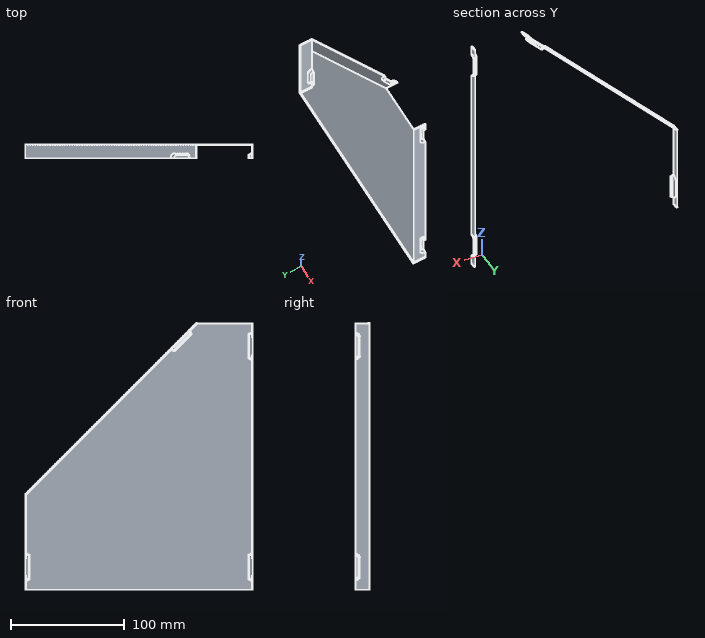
import cadquery as cq
import math

THICKNESS = 1.0
WIDTH = 200.0
HEIGHT = 234.0
DEPTH = 12.5
LEFT_HEIGHT = 84.0

COS_45 = math.sqrt(0.5)
NORMAL_SHIFT = THICKNESS * COS_45
INNER_INTERCEPT = LEFT_HEIGHT - THICKNESS / COS_45
LEFT_INNER_CORNER = (THICKNESS, INNER_INTERCEPT + THICKNESS)
TOP_INNER_CORNER = (HEIGHT - INNER_INTERCEPT, HEIGHT)

END_RELIEF = 1.0

DIMPLE_STRAIGHT = 15.0
DIMPLE_RADIUS = 4.0
DIMPLE_DEPTH = 3.0
DIMPLE_TAPER = 25.0
DIMPLE_SETBACK = 20.0


def extrude_outline(points, depth):
    """Extrude an XZ outline from Y = 0 toward +Y."""
    return cq.Workplane("XZ").polyline(points).close().extrude(-depth)


def toward_slope_normal(point):
    """Move an XZ point outward across the sloped flange by one sheet thickness."""
    return (point[0] - NORMAL_SHIFT, point[1] + NORMAL_SHIFT)


def down_slope(point, distance):
    """Move an XZ point down along the slope."""
    return (point[0] - distance * COS_45, point[1] - distance * COS_45)


def sloped_wall(top_inner, depth):
    """Strip along the slope, one sheet thick, with both ends square to the slope."""
    outline = [
        LEFT_INNER_CORNER,
        top_inner,
        toward_slope_normal(top_inner),
        toward_slope_normal(LEFT_INNER_CORNER),
    ]
    return extrude_outline(outline, depth)


def make_plate():
    """Back sheet, including the strip where the sloped flange turns off it."""
    outline = [
        (0, 0),
        (WIDTH, 0),
        (WIDTH, HEIGHT),
        TOP_INNER_CORNER,
        LEFT_INNER_CORNER,
        (0, LEFT_INNER_CORNER[1]),
    ]
    plate = extrude_outline(outline, THICKNESS).union(sloped_wall(TOP_INNER_CORNER, THICKNESS))
    return plate.translate((0, DEPTH - THICKNESS, 0))


def make_side_flange(x_start, height):
    flange = cq.Workplane("XY").box(THICKNESS, DEPTH, height, centered=False)
    return flange.translate((x_start, 0, 0))


def tapered_slot(plane, radius, depth):
    """Half of a drafted slot that is centred on the free edge and narrows along the plane normal."""
    reach = DIMPLE_STRAIGHT + 2 * radius
    slot = cq.Workplane(plane).slot2D(reach, 2 * radius).extrude(depth, taper=DIMPLE_TAPER)
    keep = cq.Workplane(plane).rect(reach, reach).extrude(depth)
    keep = keep.translate((0, reach / 2, 0))
    return slot.intersect(keep)


def add_dimple(body, center, inward):
    """Press a dimple at an XZ centre on an outer flange face, toward the XZ direction inward."""
    along_edge = (inward[1], 0, -inward[0])
    normal = (inward[0], 0, inward[1])
    plane = cq.Plane(origin=(center[0], 0, center[1]), xDir=along_edge, normal=normal)
    pocket = tapered_slot(plane, DIMPLE_RADIUS, DIMPLE_DEPTH)
    wall_offset = THICKNESS / math.cos(math.radians(DIMPLE_TAPER))
    offset_shift = THICKNESS * math.tan(math.radians(DIMPLE_TAPER))
    bump = tapered_slot(plane, DIMPLE_RADIUS + wall_offset - offset_shift, DIMPLE_DEPTH)
    bump = bump.translate(plane.zDir * THICKNESS)
    return body.union(bump).cut(pocket)


SLOPED_FLANGE_TOP = down_slope(TOP_INNER_CORNER, END_RELIEF)
DIMPLE_ON_SLOPE = toward_slope_normal(down_slope(SLOPED_FLANGE_TOP, DIMPLE_SETBACK))
DIMPLES = [
    ((0, DIMPLE_SETBACK), (1, 0)),
    ((WIDTH, DIMPLE_SETBACK), (-1, 0)),
    ((WIDTH, HEIGHT - DIMPLE_SETBACK), (-1, 0)),
    (DIMPLE_ON_SLOPE, (COS_45, -COS_45)),
]

result = make_plate()
result = result.union(make_side_flange(0, LEFT_INNER_CORNER[1]))
result = result.union(make_side_flange(WIDTH - THICKNESS, HEIGHT))
result = result.union(sloped_wall(SLOPED_FLANGE_TOP, DEPTH))
for dimple_center, dimple_inward in DIMPLES:
    result = add_dimple(result, dimple_center, dimple_inward)